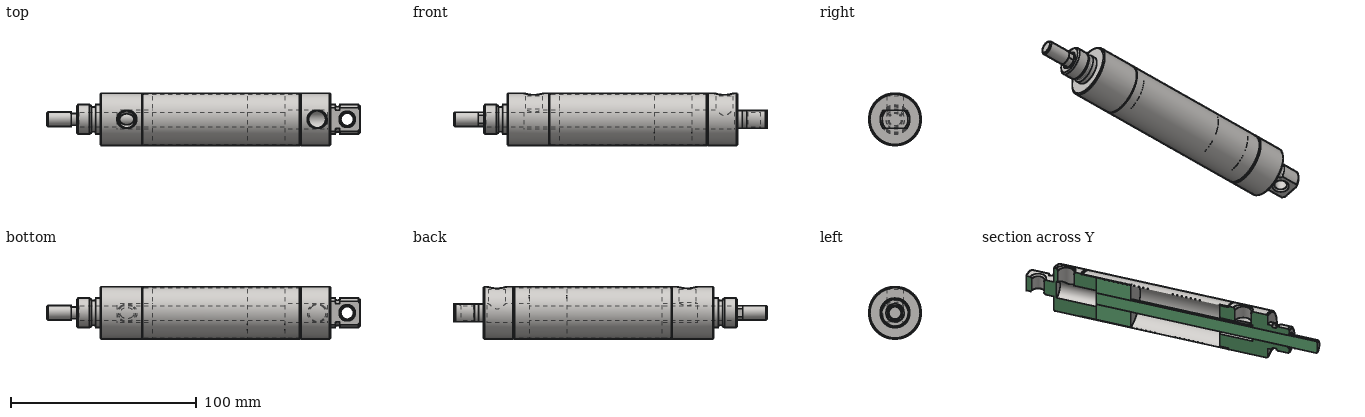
import cadquery as cq
import math


nose_start = 16.0
head_start = 28.6
tube_start = 51.5
piston_start = 107.7
piston_end = 127.9
tube_end = 136.0
cap_start = 136.1
cap_end = 152.5
tang_end = 168.3

barrel_radius = 14.1
end_chamfer = 0.7
joint_chamfer = 0.42
tube_wall = 0.7
tube_bore_radius = barrel_radius - tube_wall
front_spigot_length = 5.0

rod_radius = 3.95
rod_tip_chamfer = 0.7
stud_length = 13.0
shank_radius = 3.9
flat_half_width = 3.2
flat_reach_into_nose = 0.5
flat_length = nose_start - stud_length + flat_reach_into_nose

boss_radius = 8.0
nose_chamfer = 0.8
nose_mouth_radius = 4.9
nose_mouth_depth = nose_mouth_radius - shank_radius
nose_relief_start = 23.7
nose_relief_end = 26.0
nose_relief_radius = 6.7
nose_relief_fillet = 0.5
nose_taper_length = 1.0
nose_taper_depth = 0.59
tang_half_thickness = 4.9
tang_chamfer = 1.0
tang_relief_start = 155.0
tang_relief_end = 157.5
tang_relief_radius = 6.9
tang_relief_fillet = 0.7
pin_hole_x = 161.4
pin_hole_radius = 3.4
pin_hole_mouth_radius = 4.4

port_radius = 4.5
port_mouth_radius = 5.4
port_mouth_angle = 30
front_port_x = 42.9
rear_port_x = 145.2
passage_radius = 5.0
front_passage_start = front_port_x - port_mouth_radius
rear_passage_end = rear_port_x + port_mouth_radius
port_tip_height = 1.2

cutter_overshoot = 0.2


def revolve_about_x(outline):
    """Turn an outline of (x, radius) points about the X axis."""
    return cq.Workplane("XZ").polyline(outline).close().revolve(360, (0, 0, 0), (1, 0, 0))


def cylinder_along_x(start, end, radius):
    return cq.Workplane("YZ").workplane(offset=start).circle(radius).extrude(end - start)


def relief_groove(start, end, floor_radius, fillet):
    """Ring that cuts a groove around a boss, with its floor filleted into both walls."""
    outer_radius = boss_radius + cutter_overshoot
    return (
        cq.Workplane("XZ")
        .moveTo(start, outer_radius)
        .lineTo(start, floor_radius + fillet)
        .radiusArc((start + fillet, floor_radius), -fillet)
        .lineTo(end - fillet, floor_radius)
        .radiusArc((end, floor_radius + fillet), -fillet)
        .lineTo(end, outer_radius)
        .close()
        .revolve(360, (0, 0, 0), (1, 0, 0))
    )


def port_cutter(x, floor_height, tip_height):
    """Port with a flared mouth; its floor drops as a cone to tip_height, or is flat if they are equal."""
    mouth_depth = (port_mouth_radius - port_radius) / math.tan(math.radians(port_mouth_angle))
    outline = (
        cq.Workplane("XZ")
        .moveTo(0, tip_height)
        .lineTo(port_radius, floor_height)
        .lineTo(port_radius, barrel_radius - mouth_depth)
        .lineTo(port_mouth_radius, barrel_radius)
        .lineTo(port_mouth_radius, barrel_radius + cutter_overshoot)
        .lineTo(0, barrel_radius + cutter_overshoot)
        .close()
    )
    return outline.revolve(360, (0, 0, 0), (0, 1, 0)).translate((x, 0, 0))


def make_rod():
    """Threaded stud and a slightly thinner shank, with two wrench flats beside the stud."""
    rod = revolve_about_x([
        (0, 0),
        (0, rod_radius - rod_tip_chamfer),
        (rod_tip_chamfer, rod_radius),
        (stud_length, rod_radius),
        (stud_length, shank_radius),
        (piston_end, shank_radius),
        (piston_end, 0),
    ])
    for side in (1, -1):
        flat = cq.Workplane("XY").box(flat_length, rod_radius, 2 * rod_radius, centered=(False, True, True))
        rod = rod.cut(flat.translate((stud_length, side * (flat_half_width + rod_radius / 2), 0)))
    return rod


def make_front_head():
    """Head with a nose that guides the rod, an air port and a spigot inside the tube."""
    spigot_end = tube_start + front_spigot_length
    head = revolve_about_x([
        (nose_start, nose_mouth_radius),
        (nose_start, boss_radius - nose_chamfer),
        (nose_start + nose_chamfer, boss_radius),
        (nose_relief_start - nose_taper_length, boss_radius),
        (nose_relief_start, boss_radius - nose_taper_depth),
        (nose_relief_start, boss_radius),
        (head_start, boss_radius),
        (head_start, barrel_radius - end_chamfer),
        (head_start + end_chamfer, barrel_radius),
        (tube_start - joint_chamfer, barrel_radius),
        (tube_start, barrel_radius - joint_chamfer),
        (tube_start, tube_bore_radius),
        (spigot_end, tube_bore_radius),
        (spigot_end, passage_radius),
        (front_passage_start, passage_radius),
        (front_passage_start, shank_radius),
        (nose_start + nose_mouth_depth, shank_radius),
    ])
    head = head.cut(relief_groove(nose_relief_start, nose_relief_end, nose_relief_radius, nose_relief_fillet))
    return head.cut(port_cutter(front_port_x, port_tip_height + port_radius, port_tip_height))


def make_tube():
    return revolve_about_x([
        (tube_start, tube_bore_radius),
        (tube_start, barrel_radius),
        (tube_end - joint_chamfer, barrel_radius),
        (tube_end, barrel_radius - joint_chamfer),
        (tube_end, tube_bore_radius),
    ])


def make_piston():
    """Disc that fills the tube bore, with a hole for the rod."""
    piston = cylinder_along_x(piston_start, piston_end, tube_bore_radius)
    return piston.cut(cylinder_along_x(piston_start, piston_end, shank_radius))


def make_tang():
    """Grooved round boss cut to a slab, with a pin hole chamfered at both ends."""
    tang = revolve_about_x([
        (cap_end, 0),
        (cap_end, boss_radius),
        (tang_end - tang_chamfer, boss_radius),
        (tang_end, boss_radius - tang_chamfer),
        (tang_end, 0),
    ])
    tang = tang.cut(relief_groove(tang_relief_start, tang_relief_end, tang_relief_radius, tang_relief_fillet))
    slab = cq.Workplane("XY").box(tang_end, 2 * boss_radius, 2 * tang_half_thickness, centered=(False, True, True))
    tang = tang.intersect(slab)
    mouth_depth = pin_hole_mouth_radius - pin_hole_radius
    pin_hole = (
        cq.Workplane("XZ")
        .moveTo(0, -tang_half_thickness)
        .lineTo(pin_hole_mouth_radius, -tang_half_thickness)
        .lineTo(pin_hole_radius, mouth_depth - tang_half_thickness)
        .lineTo(pin_hole_radius, tang_half_thickness - mouth_depth)
        .lineTo(pin_hole_mouth_radius, tang_half_thickness)
        .lineTo(0, tang_half_thickness)
        .close()
        .revolve(360, (0, 0, 0), (0, 1, 0))
        .translate((pin_hole_x, 0, 0))
    )
    return tang.cut(pin_hole)


def make_rear_cap():
    """Cap with a spigot inside the tube, a blind air passage, a port and the tang."""
    cap = revolve_about_x([
        (piston_end, passage_radius),
        (piston_end, tube_bore_radius),
        (cap_start, tube_bore_radius),
        (cap_start, barrel_radius - joint_chamfer),
        (cap_start + joint_chamfer, barrel_radius),
        (cap_end - end_chamfer, barrel_radius),
        (cap_end, barrel_radius - end_chamfer),
        (cap_end, 0),
        (rear_passage_end, 0),
        (rear_passage_end, passage_radius),
    ])
    return cap.cut(port_cutter(rear_port_x, 0, 0)).union(make_tang())


rod = make_rod()
front_head = make_front_head()
tube = make_tube()
piston = make_piston()
rear_cap = make_rear_cap()

result = cq.Compound.makeCompound([
    rod.val(),
    front_head.val(),
    tube.val(),
    piston.val(),
    rear_cap.val(),
])